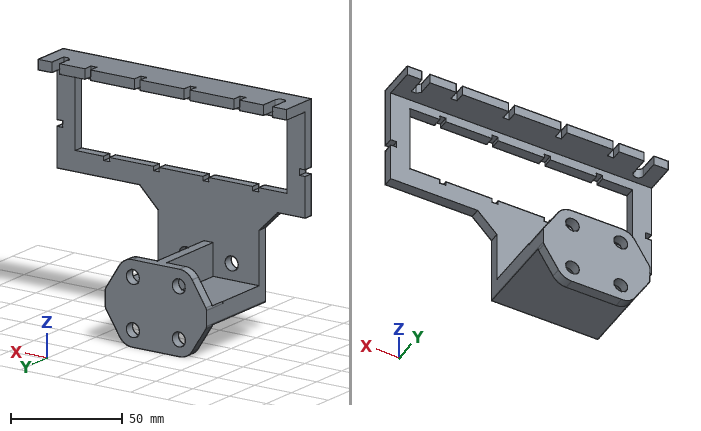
import cadquery as cq
import math


FRAME_LENGTH = 135.0
FRAME_HEIGHT = 55.0
PLATE_THICKNESS = 5.0
RAIL_WIDTH = 10.0
NOTCH_WIDTH = 3.1
NOTCH_DEPTH = 2.0
NOTCH_COUNT = 4
NOTCH_PITCH = FRAME_LENGTH / (NOTCH_COUNT + 1)
SIDE_NOTCH_DEPTH = 3.1
SIDE_NOTCH_DROP = 33.8

FLANGE_DEPTH = 20.0
FLANGE_NOTCH_DEPTH = 5.0
LEFT_SLOT_WIDTH = 5.0
LEFT_SLOT_LENGTH = 11.9
RIGHT_SLOT_WIDTH = 4.2
RIGHT_SLOT_LENGTH = 9.5
RIGHT_SLOT_CHAMFER = 1.8
RIGHT_SLOT_INSET = 7.5

NECK_LEFT = 25.0
NECK_WIDTH = 55.1
NECK_RIGHT = NECK_LEFT + NECK_WIDTH
NECK_MIDDLE = NECK_LEFT + NECK_WIDTH / 2
GUSSET = 10.0

TOTAL_DEPTH = 47.0
TOTAL_HEIGHT = 116.2
TRIMMED_REAR_DEPTH = 13.0
PAD_CORNER_RADIUS = 8.1
PAD_CORNER_SPACING = 25.8
PAD_SIDE_RADIUS = 2.3
HOLE_PITCH = 25.0
HOLE_DIAMETER = 7.0
PAD_SIDE_HEIGHT = HOLE_PITCH - 2 * PAD_CORNER_RADIUS
PAD_HEIGHT = HOLE_PITCH + 2 * PAD_CORNER_RADIUS
PAD_MIDDLE_Z = PAD_HEIGHT / 2 - TOTAL_HEIGHT
PAD_TOP_Z = PAD_HEIGHT - TOTAL_HEIGHT

FLOOR_THICKNESS = 8.9
FLOOR_BOTTOM_Z = -99.9
FLOOR_TOP_Z = FLOOR_BOTTOM_Z + FLOOR_THICKNESS
RIB_WIDTH = 5.0


def box(left, front, bottom, width, depth, height):
    """Box placed by its left, front and bottom sides."""
    return cq.Workplane("XY").box(width, depth, height, centered=False).translate((left, front, bottom))


def make_front_plate():
    """Frame, sloping gussets and neck as one flat plate; the neck runs down into the floor's front end."""
    outline = [
        (0, 0),
        (FRAME_LENGTH, 0),
        (FRAME_LENGTH, -FRAME_HEIGHT),
        (NECK_RIGHT + GUSSET, -FRAME_HEIGHT),
        (NECK_RIGHT, -FRAME_HEIGHT - GUSSET),
        (NECK_RIGHT, PAD_MIDDLE_Z),
        (NECK_LEFT, PAD_MIDDLE_Z),
        (NECK_LEFT, -FRAME_HEIGHT - GUSSET),
        (NECK_LEFT - GUSSET, -FRAME_HEIGHT),
        (0, -FRAME_HEIGHT),
    ]
    return cq.Workplane("XZ").polyline(outline).close().extrude(-PLATE_THICKNESS)


def make_window():
    """Window through the frame, with notches along its long edges."""
    window_height = FRAME_HEIGHT - 2 * RAIL_WIDTH
    window_length = FRAME_LENGTH - 2 * RAIL_WIDTH
    window_bottom = RAIL_WIDTH - FRAME_HEIGHT
    window = box(RAIL_WIDTH, 0, window_bottom, window_length, PLATE_THICKNESS, window_height)
    for index in range(1, NOTCH_COUNT + 1):
        window = window.union(
            box(
                index * NOTCH_PITCH - NOTCH_WIDTH / 2,
                0,
                window_bottom - NOTCH_DEPTH,
                NOTCH_WIDTH,
                PLATE_THICKNESS,
                window_height + 2 * NOTCH_DEPTH,
            )
        )
    return window


def make_side_notches():
    """One notch in each short end of the frame."""
    bottom = -SIDE_NOTCH_DROP - NOTCH_WIDTH / 2
    size = (SIDE_NOTCH_DEPTH, PLATE_THICKNESS, NOTCH_WIDTH)
    left = box(0, 0, bottom, *size)
    right = box(FRAME_LENGTH - SIDE_NOTCH_DEPTH, 0, bottom, *size)
    return left.union(right)


def make_flange():
    """Flange along the top edge, with notches and two slots open to the rear."""
    flange = box(0, 0, -PLATE_THICKNESS, FRAME_LENGTH, FLANGE_DEPTH, PLATE_THICKNESS)
    for index in range(1, NOTCH_COUNT + 1):
        notch_left = index * NOTCH_PITCH - NOTCH_WIDTH / 2
        notch_front = FLANGE_DEPTH - FLANGE_NOTCH_DEPTH
        flange = flange.cut(
            box(notch_left, notch_front, -PLATE_THICKNESS, NOTCH_WIDTH, FLANGE_NOTCH_DEPTH, PLATE_THICKNESS)
        )

    left_slot_centre_y = FLANGE_DEPTH - LEFT_SLOT_LENGTH + LEFT_SLOT_WIDTH / 2
    left_slot_end = (
        cq.Workplane("XY", origin=(RAIL_WIDTH, left_slot_centre_y, -PLATE_THICKNESS))
        .circle(LEFT_SLOT_WIDTH / 2)
        .extrude(PLATE_THICKNESS)
    )
    left_slot = left_slot_end.union(
        box(
            RAIL_WIDTH - LEFT_SLOT_WIDTH / 2,
            left_slot_centre_y,
            -PLATE_THICKNESS,
            LEFT_SLOT_WIDTH,
            FLANGE_DEPTH - left_slot_centre_y,
            PLATE_THICKNESS,
        )
    )

    right_slot = box(
        FRAME_LENGTH - RIGHT_SLOT_INSET - RIGHT_SLOT_WIDTH,
        FLANGE_DEPTH - RIGHT_SLOT_LENGTH,
        -PLATE_THICKNESS,
        RIGHT_SLOT_WIDTH,
        RIGHT_SLOT_LENGTH,
        PLATE_THICKNESS,
    ).edges("|Z and <X and <Y").chamfer(RIGHT_SLOT_CHAMFER)
    return flange.cut(left_slot).cut(right_slot)


def make_pad_prism():
    """The pad's six-sided outline with rounded corners, carried through the whole depth of the part."""
    half_width = NECK_WIDTH / 2
    half_height = PAD_HEIGHT / 2
    half_side = PAD_SIDE_HEIGHT / 2
    slope = 2 * math.atan2(PAD_CORNER_RADIUS, half_width - PAD_CORNER_SPACING / 2)
    end_half_width = half_width - (half_height - half_side) / math.tan(slope)
    outline = [
        (-end_half_width, half_height),
        (end_half_width, half_height),
        (half_width, half_side),
        (half_width, -half_side),
        (end_half_width, -half_height),
        (-end_half_width, -half_height),
        (-half_width, -half_side),
        (-half_width, half_side),
    ]
    prism = cq.Workplane("XZ").polyline(outline).close().extrude(-TOTAL_DEPTH)
    prism = prism.edges("|Y and (>X or <X)").fillet(PAD_SIDE_RADIUS)
    prism = prism.edges("|Y and (>Z or <Z)").fillet(PAD_CORNER_RADIUS)
    return prism.translate((NECK_MIDDLE, 0, PAD_MIDDLE_Z))


def make_mount():
    """Rear pad with the floor and middle rib that join it to the neck."""
    floor = box(NECK_LEFT, 0, FLOOR_BOTTOM_Z, NECK_WIDTH, TOTAL_DEPTH, FLOOR_THICKNESS)
    rib_left = NECK_MIDDLE - RIB_WIDTH / 2
    rib = box(rib_left, 0, FLOOR_TOP_Z, RIB_WIDTH, TOTAL_DEPTH, PAD_TOP_Z - FLOOR_TOP_Z)
    pad_front = TOTAL_DEPTH - PLATE_THICKNESS
    pad = box(NECK_LEFT, pad_front, -TOTAL_HEIGHT, NECK_WIDTH, PLATE_THICKNESS, PAD_HEIGHT)

    untrimmed = box(
        NECK_LEFT, 0, PAD_MIDDLE_Z, NECK_WIDTH, TOTAL_DEPTH - TRIMMED_REAR_DEPTH, PAD_TOP_Z - PAD_MIDDLE_Z
    )
    envelope = make_pad_prism().union(untrimmed)
    return floor.union(rib).union(pad).intersect(envelope)


def make_bolt_holes():
    """Four holes running from front to rear, centred on the pad."""
    return (
        cq.Workplane("XZ", origin=(NECK_MIDDLE, 0, PAD_MIDDLE_Z))
        .rarray(HOLE_PITCH, HOLE_PITCH, 2, 2)
        .circle(HOLE_DIAMETER / 2)
        .extrude(-TOTAL_DEPTH)
    )


front_plate = make_front_plate().cut(make_window()).cut(make_side_notches())
result = front_plate.union(make_flange()).union(make_mount()).cut(make_bolt_holes())